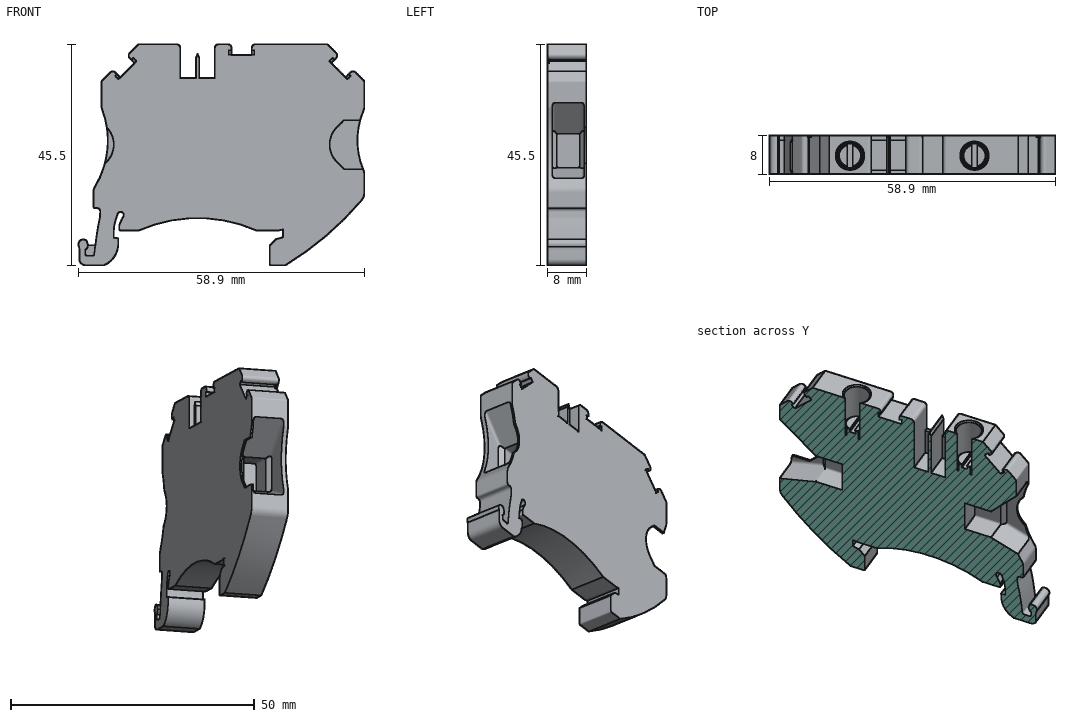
import cadquery as cq
import math

THICKNESS = 8.0
LENGTH = 58.85
HEIGHT = 45.5
BACK_SKIN = 0.4

SHOULDER_X = 4.75
SHOULDER_Z = 37.9
BEVEL = HEIGHT - SHOULDER_Z
FOOT_Z = 7.15
SKIRT_X = 3.1
SKIRT_Z = 11.75
WIRE_Z = 24.85
SKIRT_TOP_Z = 15.7
SLIT_X = 8.4
RAIL_FOOT_X = 39.35
LEG_ROOT_X = 4.55
BELLY_Z = 14.05

WAIST_Z = 25.1
LEFT_WAIST_X = 6.05
LEFT_WAIST_TOP_Z = 32.4
RIGHT_WAIST_X = 57.45
RIGHT_WAIST_TOP_Z = 32.2
RIGHT_WAIST_BOTTOM_Z = 19.2

HEEL_RADIUS = 1.3
SMALL_RADIUS = 0.3
LEG_ROOT_RADIUS = 0.65
SKIRT_RADIUS = 0.4
SHOULDER_RADIUS = 0.5
WAIST_END_RADIUS = 2.0
BELLY_RADIUS = 2.4

MARKER_MOUTH = 4.15
MARKER_FLOOR = 5.25
MARKER_UNDERCUT = 0.95
MARKER_DEPTH = 2.2
TOP_MARKER_X = 33.6
LIP_RADIUS = 0.75

JUMPER_LEFT = 21.0
JUMPER_RIGHT = 28.05
JUMPER_FLOOR_Z = 38.55
JUMPER_RADIUS = 0.8
JUMPER_WELL_Y = (0.8, 7.0)
JUMPER_WELL_DEPTH = 6.0
FIN_X = 24.55
FIN_WIDTH = 0.75
FIN_SHOULDER_Z = 42.6
FIN_TIP_Z = 43.5

SCREW_XS = (16.6, 42.2)
SCREW_Y = 3.8
SCREW_HOLE_DIAMETER = 5.3
SCREW_HOLE_CHAMFER = 0.3
SCREW_HOLE_DEPTH = 10.0
SCREW_DIAMETER = 5.0
SCREW_CHAMFER = 0.25
SCREW_LENGTH = 2.0
DRIVER_SLOT_WIDTH = 1.1
DRIVER_SLOT_DEPTH = 0.8

FUNNEL_Y = (0.4, 7.0)
FUNNEL_FLOOR_X = 10.5
FUNNEL_FLOOR_Z = (20.1, 27.1)
FUNNEL_MOUTH_X = 3.0
FUNNEL_MOUTH_Z = (17.45, 35.4)
FUNNEL_EDGE_RADIUS = 0.6
FUNNEL_FLOOR_CHAMFER = 0.9
WIRE_HOLE_DEPTH = 6.0
WIRE_HOLE_RADIUS = 0.4
RIGHT_FUNNEL_EXTRA_DEPTH = 2.5

OPENING_RADIUS = 5.0
OPENING_DEPTH = 1.2
LEFT_OPENING_X = 7.3
RIGHT_OPENING_X = 51.7
RIGHT_OPENING_Z = (19.8, 29.8)

HOOK_TIP_RADIUS = 1.02
HOOK_SIDE_X = 0.2
HOOK_THROAT_X = (1.45, 3.25)
HOOK_THROAT_Z = 2.0
HOOK_TIP_Z = 4.33
HOOK_WEB_X = (1.4, 3.6)
HOOK_WEB_BOTTOM = 1.5
HOOK_WEB_Y = 7.0
HOOK_WEB_TOP = 4.15


def plate(sketch, y_from, y_to):
    """Extrude a closed XZ sketch between two Y positions."""
    return sketch.extrude(-(y_to - y_from)).translate((0, y_from, 0))


def polygon(points, y_from, y_to):
    return plate(cq.Workplane("XZ").polyline(points).close(), y_from, y_to)


def block(x, y, z):
    """Box given by its (low, high) limits along each axis."""
    return cq.Workplane("XY").box(x[1] - x[0], y[1] - y[0], z[1] - z[0], centered=False).translate(
        (x[0], y[0], z[0])
    )


def round_corners(body, radius, corners):
    """Fillet the edges that run along Y at the given (x, z) corners."""
    for x, z in corners:
        nearest = cq.selectors.NearestToPointSelector((x, THICKNESS / 2, z))
        body = body.edges("|Y").edges(nearest).fillet(radius)
    return body


def hook_tip(angle):
    """Point on the round hook tip, at an angle in degrees from +X towards +Z."""
    turn = math.radians(angle)
    return HOOK_TIP_RADIUS * (1 + math.cos(turn)), HOOK_TIP_Z + HOOK_TIP_RADIUS * math.sin(turn)


def make_body():
    outline = (
        cq.Workplane("XZ")
        .moveTo(5.3, 0)
        .lineTo(HOOK_SIDE_X, 0)
        .lineTo(HOOK_SIDE_X, 3.3)
        .lineTo(*hook_tip(212))
        .threePointArc(hook_tip(125), hook_tip(45))
        .lineTo(2.0, 4.2)
        .threePointArc((1.9, 3.75), (HOOK_THROAT_X[0], 3.2))
        .lineTo(HOOK_THROAT_X[0], HOOK_THROAT_Z)
        .lineTo(HOOK_THROAT_X[1], HOOK_THROAT_Z)
        .lineTo(3.5, 4.2)
        .lineTo(3.65, 5.4)
        .threePointArc((3.98, 7.6), (4.4, 9.75))
        .lineTo(LEG_ROOT_X, SKIRT_Z)
        .lineTo(SKIRT_X, SKIRT_Z)
        .lineTo(SKIRT_X, SKIRT_TOP_Z)
        .threePointArc((LEFT_WAIST_X, WAIST_Z), (SHOULDER_X, LEFT_WAIST_TOP_Z))
        .lineTo(SHOULDER_X, SHOULDER_Z)
        .lineTo(SHOULDER_X + BEVEL, HEIGHT)
        .lineTo(LENGTH - BEVEL, HEIGHT)
        .lineTo(LENGTH, SHOULDER_Z)
        .lineTo(LENGTH, RIGHT_WAIST_TOP_Z)
        .threePointArc((RIGHT_WAIST_X, WAIST_Z), (LENGTH, RIGHT_WAIST_BOTTOM_Z))
        .lineTo(LENGTH, BELLY_Z)
        .threePointArc((51.5, 6.5), (42.6, 0))
        .lineTo(RAIL_FOOT_X, 0)
        .lineTo(RAIL_FOOT_X, 4.05)
        .lineTo(40.65, 5.4)
        .lineTo(42.1, 5.8)
        .lineTo(42.1, 7.35)
        .lineTo(41.2, FOOT_Z)
        .lineTo(36.65, FOOT_Z)
        .threePointArc((24.6, 9.7), (12.45, FOOT_Z))
        .lineTo(SLIT_X, FOOT_Z)
        .lineTo(SLIT_X, 8.3)
        .lineTo(9.1, 9.85)
        .threePointArc((8.9, 10.95), (8.1, 10.5))
        .threePointArc((7.4, 8.0), (7.3, 5.7))
        .lineTo(8.25, 5.6)
        .lineTo(8.25, 4.6)
        .threePointArc((7.4, 1.75), (5.3, 0))
        .close()
    )
    return plate(outline, 0, THICKNESS)


def cut_marker_slot(body, x, z, tilt):
    """Cut a marker slot into the surface point (x, z), tilted about Y by an angle in degrees."""
    mouth_x = (-MARKER_MOUTH / 2, MARKER_MOUTH / 2)
    floor_x = (-MARKER_FLOOR / 2, MARKER_FLOOR / 2)
    floor_z = -MARKER_DEPTH
    mouth = block(mouth_x, (0, THICKNESS), (floor_z, MARKER_DEPTH))
    floor = block(floor_x, (0, THICKNESS - BACK_SKIN), (floor_z, floor_z + MARKER_UNDERCUT))
    cutter = mouth.union(floor).rotate((0, 0, 0), (0, 1, 0), tilt).translate((x, 0, z))
    half_x = MARKER_MOUTH / 2 * math.cos(math.radians(tilt))
    half_z = MARKER_MOUTH / 2 * math.sin(math.radians(tilt))
    lips = [(x - half_x, z + half_z), (x + half_x, z - half_z)]
    return round_corners(body.cut(cutter), LIP_RADIUS, lips)


def add_jumper_slot(body):
    slot_x = (JUMPER_LEFT, JUMPER_RIGHT)
    body = body.cut(block(slot_x, (0, THICKNESS), (JUMPER_FLOOR_Z, HEIGHT)))
    body = round_corners(body, JUMPER_RADIUS, [(x, HEIGHT) for x in slot_x])
    well_bottom = JUMPER_FLOOR_Z - JUMPER_WELL_DEPTH
    body = body.cut(block(slot_x, JUMPER_WELL_Y, (well_bottom, JUMPER_FLOOR_Z)))
    left = FIN_X - FIN_WIDTH / 2
    right = FIN_X + FIN_WIDTH / 2
    fin = [
        (left, well_bottom),
        (right, well_bottom),
        (right, FIN_SHOULDER_Z),
        (FIN_X, FIN_TIP_Z),
        (left, FIN_SHOULDER_Z),
    ]
    return body.union(polygon(fin, 0, THICKNESS - BACK_SKIN))


def add_screw(body, x):
    top = cq.Workplane("XY", origin=(x, SCREW_Y, HEIGHT))
    hole = top.circle(SCREW_HOLE_DIAMETER / 2).extrude(-SCREW_HOLE_DEPTH)
    rim = (
        top.circle(SCREW_HOLE_DIAMETER / 2 + SCREW_HOLE_CHAMFER)
        .workplane(offset=-SCREW_HOLE_CHAMFER)
        .circle(SCREW_HOLE_DIAMETER / 2)
        .loft(ruled=True)
    )
    screw = top.workplane(offset=-SCREW_HOLE_DEPTH).circle(SCREW_DIAMETER / 2).extrude(SCREW_LENGTH)
    screw = screw.faces(">Z").chamfer(SCREW_CHAMFER)
    head = screw.faces(">Z").workplane()
    screw = head.rect(DRIVER_SLOT_WIDTH, SCREW_DIAMETER).cutBlind(-DRIVER_SLOT_DEPTH)
    return body.cut(hole).cut(rim).union(screw)


def make_wire_entry(floor_x):
    """Cutter for the left wire entry, with its funnel ending at floor_x."""
    profile = [
        (FUNNEL_MOUTH_X, FUNNEL_MOUTH_Z[0]),
        (floor_x, FUNNEL_FLOOR_Z[0]),
        (floor_x, FUNNEL_FLOOR_Z[1]),
        (FUNNEL_MOUTH_X, FUNNEL_MOUTH_Z[1]),
    ]
    funnel = polygon(profile, *FUNNEL_Y)
    funnel = funnel.faces(">X").edges("|Z").chamfer(FUNNEL_FLOOR_CHAMFER)
    funnel = funnel.faces("<Y or >Y").edges("not |Z").fillet(FUNNEL_EDGE_RADIUS)
    hole_y = (FUNNEL_Y[0] + FUNNEL_FLOOR_CHAMFER, FUNNEL_Y[1] - FUNNEL_FLOOR_CHAMFER)
    hole = block((FUNNEL_MOUTH_X, floor_x + WIRE_HOLE_DEPTH), hole_y, FUNNEL_FLOOR_Z)
    hole = hole.edges("|X").fillet(WIRE_HOLE_RADIUS)
    return funnel.union(hole)


def cut_wire_entries(body):
    middle = (SHOULDER_X + LENGTH) / 2
    left = make_wire_entry(FUNNEL_FLOOR_X)
    right = make_wire_entry(FUNNEL_FLOOR_X + RIGHT_FUNNEL_EXTRA_DEPTH)
    return body.cut(left).cut(right.mirror("YZ", (middle, 0, 0)))


def cut_left_opening(body):
    center_x = LEFT_OPENING_X - OPENING_RADIUS
    opening = cq.Workplane("XZ").center(center_x, WIRE_Z).circle(OPENING_RADIUS)
    return body.cut(plate(opening, 0, OPENING_DEPTH))


def cut_right_opening(body):
    """Flat-sided opening whose inner end is round, with 45 degree flanks."""
    low, high = RIGHT_OPENING_Z
    center_x = RIGHT_OPENING_X + OPENING_RADIUS
    tangent = OPENING_RADIUS * math.sqrt(0.5)
    flank_x = center_x - tangent
    flank_low = WIRE_Z - tangent
    flank_high = WIRE_Z + tangent
    opening = (
        cq.Workplane("XZ")
        .moveTo(LENGTH, low)
        .lineTo(flank_x + flank_low - low, low)
        .lineTo(flank_x, flank_low)
        .threePointArc((RIGHT_OPENING_X, WIRE_Z), (flank_x, flank_high))
        .lineTo(flank_x + high - flank_high, high)
        .lineTo(LENGTH, high)
        .close()
    )
    return body.cut(plate(opening, 0, OPENING_DEPTH))


def round_outline(body):
    body = round_corners(body, HEEL_RADIUS, [(HOOK_SIDE_X, 0)])
    throat = [(HOOK_THROAT_X[0], HOOK_THROAT_Z), (HOOK_THROAT_X[1], HOOK_THROAT_Z)]
    body = round_corners(body, SMALL_RADIUS, throat + [(SLIT_X, FOOT_Z), (RAIL_FOOT_X, 0)])
    body = round_corners(body, LEG_ROOT_RADIUS, [(LEG_ROOT_X, SKIRT_Z)])
    body = round_corners(body, SKIRT_RADIUS, [(SKIRT_X, SKIRT_Z)])
    body = round_corners(body, SHOULDER_RADIUS, [(SHOULDER_X, SHOULDER_Z), (LENGTH, SHOULDER_Z)])
    left_waist_ends = [(SKIRT_X, SKIRT_TOP_Z), (SHOULDER_X, LEFT_WAIST_TOP_Z)]
    right_waist_ends = [(LENGTH, RIGHT_WAIST_TOP_Z), (LENGTH, RIGHT_WAIST_BOTTOM_Z)]
    body = round_corners(body, WAIST_END_RADIUS, left_waist_ends + right_waist_ends)
    return round_corners(body, BELLY_RADIUS, [(LENGTH, BELLY_Z)])


def add_hook_web(body):
    web = block(HOOK_WEB_X, (HOOK_WEB_Y, THICKNESS), (HOOK_WEB_BOTTOM, HOOK_WEB_TOP))
    return body.union(web)


result = add_hook_web(round_outline(make_body()))
result = cut_marker_slot(result, TOP_MARKER_X, HEIGHT, 0)
result = cut_marker_slot(result, SHOULDER_X + BEVEL / 2, HEIGHT - BEVEL / 2, -45)
result = cut_marker_slot(result, LENGTH - BEVEL / 2, HEIGHT - BEVEL / 2, 45)
result = add_jumper_slot(result)
for screw_x in SCREW_XS:
    result = add_screw(result, screw_x)
result = cut_wire_entries(result)
result = cut_left_opening(result)
result = cut_right_opening(result)